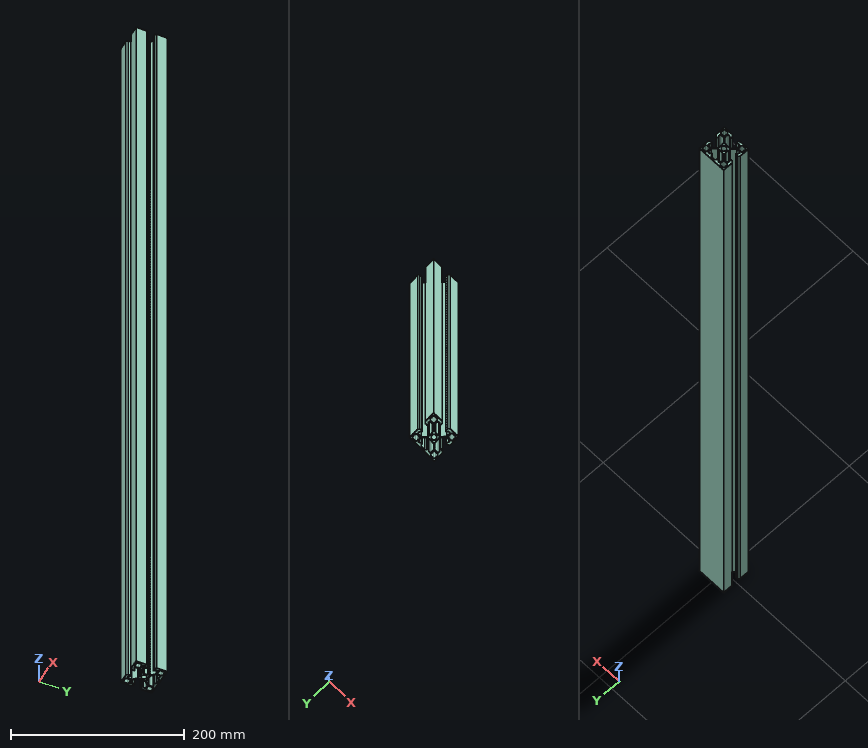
import cadquery as cq

side = 40.0
length = 1000.0

mouth_width = 9.0
mouth_chamfer = 1.8

hook_depth = 5.5
hook_width = 1.1
lip_thickness = 3.8

chamber_width = 20.0
chamber_corner_radius = 0.8
floor_depth = 14.4
floor_width = 9.4

groove_width = 5.0
groove_depth = 0.5

cover_thickness = 2.0
cover_chamfer = 1.8

core_bore_diameter = 6.8

corner_hollow_inner = 11.1
corner_hollow_outer = 18.0
corner_hollow_radius = 1.6

half_side = side / 2
half_mouth = mouth_width / 2
half_chamber = chamber_width / 2


def mirrored_prism(right):
    """Prism along Z from the right half of a slot outline and its mirror image.

    The points give distance from the slot's centre line and depth below the -Y face.
    """
    left = [(-across, depth) for across, depth in reversed(right)]
    outline = [(across, depth - half_side) for across, depth in right + left]
    return cq.Workplane("XY").polyline(outline).close().extrude(length)


def slot_mouth(closed):
    """Opening between the lips, down to the ends of their hooks."""
    if closed:
        outer = [
            (half_mouth - cover_chamfer, cover_thickness),
            (half_mouth, cover_thickness + cover_chamfer),
        ]
    else:
        outer = [(half_mouth + mouth_chamfer, 0), (half_mouth, mouth_chamfer)]
    return mirrored_prism(outer + [(half_mouth, hook_depth)])


def slot_chamber():
    """Wide part of the slot behind the lips, less the room taken by the two hooks."""
    half_hook = half_mouth + hook_width
    half_hook_root = half_hook + hook_depth - lip_thickness
    half_floor = floor_width / 2
    half_groove = groove_width / 2
    web_depth = floor_depth - (half_chamber - half_floor)
    chamber = mirrored_prism(
        [
            (half_hook, hook_depth),
            (half_hook_root, lip_thickness),
            (half_chamber, lip_thickness),
            (half_chamber, web_depth),
            (half_floor, floor_depth),
            (half_groove, floor_depth),
            (half_groove, floor_depth + groove_depth),
        ]
    )
    corner_y = lip_thickness - half_side
    for corner_x in (-half_chamber, half_chamber):
        corner_edge = cq.selectors.NearestToPointSelector((corner_x, corner_y, length / 2))
        chamber = chamber.edges(corner_edge).fillet(chamber_corner_radius)
    return chamber


def slot_cutter(angle, closed):
    """Slot of the -Y side, turned by angle about the part's axis."""
    cutter = slot_mouth(closed).union(slot_chamber())
    return cutter.rotate((0, 0, 0), (0, 0, 1), angle)


def core_bore():
    return cq.Workplane("XY").circle(core_bore_diameter / 2).extrude(length)


def corner_hollows():
    hollow_side = corner_hollow_outer - corner_hollow_inner
    spacing = corner_hollow_outer + corner_hollow_inner
    return (
        cq.Workplane("XY")
        .rect(spacing, spacing, forConstruction=True)
        .vertices()
        .rect(hollow_side, hollow_side)
        .extrude(length)
        .edges("|Z")
        .fillet(corner_hollow_radius)
    )


result = cq.Workplane("XY").rect(side, side).extrude(length)
for angle in (0, 90, 180, 270):
    result = result.cut(slot_cutter(angle, closed=angle == 180))
result = result.cut(core_bore()).cut(corner_hollows())